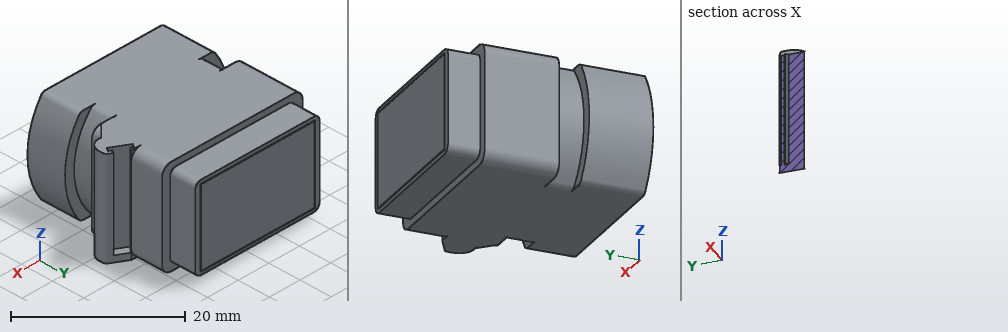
import cadquery as cq
import math

height = 15.0

head_radius = 12.37
edge_round = 1.0

groove_depth = 1.5
left_groove_start = 8.05
left_groove_end = 11.4
right_groove_start = 6.05
right_groove_end = 9.45

body_width = 22.95
body_end = 20.74
body_corner = 1.51

plug_width = 20.35
plug_height = 13.05
plug_corner = edge_round
plug_end = 24.75
pad_width = 18.58
pad_height = 11.95
pad_end = 24.85

clip_tip_x = 14.18
clip_top_y = 15.82
clip_bottom_y = 11.47
clip_slope = math.radians(30)
clip_tip_round = 0.7
clip_bottom_round = 1.83

slot_mouth = 2.12
slot_undercut = 0.48
slot_lip = 0.58
slot_depth = 1.25
slot_floor_thickness = 1.0


def flatted_round(radius, start, end):
    """Bar along Y with round sides, flat top and bottom, and rounded edges."""
    bar = cq.Workplane("XZ", origin=(0, start, 0)).circle(radius).extrude(start - end)
    slab = cq.Workplane("XY").box(2 * radius, 2 * end, height)
    return bar.intersect(slab).edges("|Y").fillet(edge_round)


def rounded_block(width, block_height, corner, start, end):
    """Block along Y with rounded long edges."""
    block = cq.Workplane("XZ", origin=(0, start, 0)).rect(width, block_height).extrude(start - end)
    return block.edges("|Y").fillet(corner)


def half(shape, side):
    """Keep the part of a shape on the side of X = 0 given by -1 or +1."""
    side_block = cq.Workplane("XY").box(2 * head_radius, 2 * body_end, height)
    return shape.intersect(side_block.translate((side * head_radius, 0, 0)))


def section(side, groove_start, groove_end):
    """Head, grooved core and main body on one side of X = 0."""
    head = flatted_round(head_radius, 0, groove_start)
    core = flatted_round(head_radius - groove_depth, groove_start, groove_end)
    body = rounded_block(body_width, height, body_corner, groove_end, body_end)
    return half(head.union(core).union(body), side)


def clip():
    """Full-height lug with a sloping upper face and a 45 degree lower face."""
    side_x = body_width / 2
    root_x = side_x - body_corner
    diagonal_end_x = root_x + clip_bottom_y - right_groove_end
    tip_top_y = clip_top_y - (clip_tip_x - side_x) * math.tan(clip_slope)
    lug = (
        cq.Workplane("XY", origin=(0, 0, -height / 2))
        .moveTo(0, right_groove_end)
        .lineTo(root_x, right_groove_end)
        .lineTo(diagonal_end_x, clip_bottom_y)
        .lineTo(clip_tip_x, clip_bottom_y)
        .lineTo(clip_tip_x, tip_top_y)
        .lineTo(side_x, clip_top_y)
        .lineTo(0, clip_top_y)
        .close()
        .extrude(height)
    )
    lower_corner = cq.selectors.NearestToPointSelector((clip_tip_x, clip_bottom_y, 0))
    lug = lug.edges("|Z").edges(lower_corner).fillet(clip_bottom_round)
    upper_corner = cq.selectors.NearestToPointSelector((clip_tip_x, tip_top_y, 0))
    return lug.edges("|Z").edges(upper_corner).fillet(clip_tip_round)


def clip_slot():
    """T-shaped slot sunk into the sloping face, open at the top of the clip."""
    plane = cq.Plane(
        origin=(body_width / 2, clip_top_y, -height / 2 + slot_floor_thickness),
        xDir=(math.cos(clip_slope), -math.sin(clip_slope), 0),
        normal=(0, 0, 1),
    )
    slot_height = height - slot_floor_thickness
    pocket_depth = slot_depth - slot_lip
    mouth = (
        cq.Workplane(plane)
        .rect(slot_mouth, 2 * slot_depth)
        .extrude(slot_height)
    )
    pocket = (
        cq.Workplane(plane)
        .center(0, -slot_lip - pocket_depth / 2)
        .rect(slot_mouth + 2 * slot_undercut, pocket_depth)
        .extrude(slot_height)
    )
    to_mouth_center = plane.xDir * (slot_mouth / 2)
    return mouth.union(pocket).translate(to_mouth_center)


housing = section(-1, left_groove_start, left_groove_end)
housing = housing.union(section(1, right_groove_start, right_groove_end))

plug = rounded_block(plug_width, plug_height, plug_corner, body_end, plug_end)
pad = cq.Workplane("XZ", origin=(0, plug_end, 0)).rect(pad_width, pad_height).extrude(plug_end - pad_end)

result = housing.union(plug).union(pad).union(clip()).cut(clip_slot()).clean()